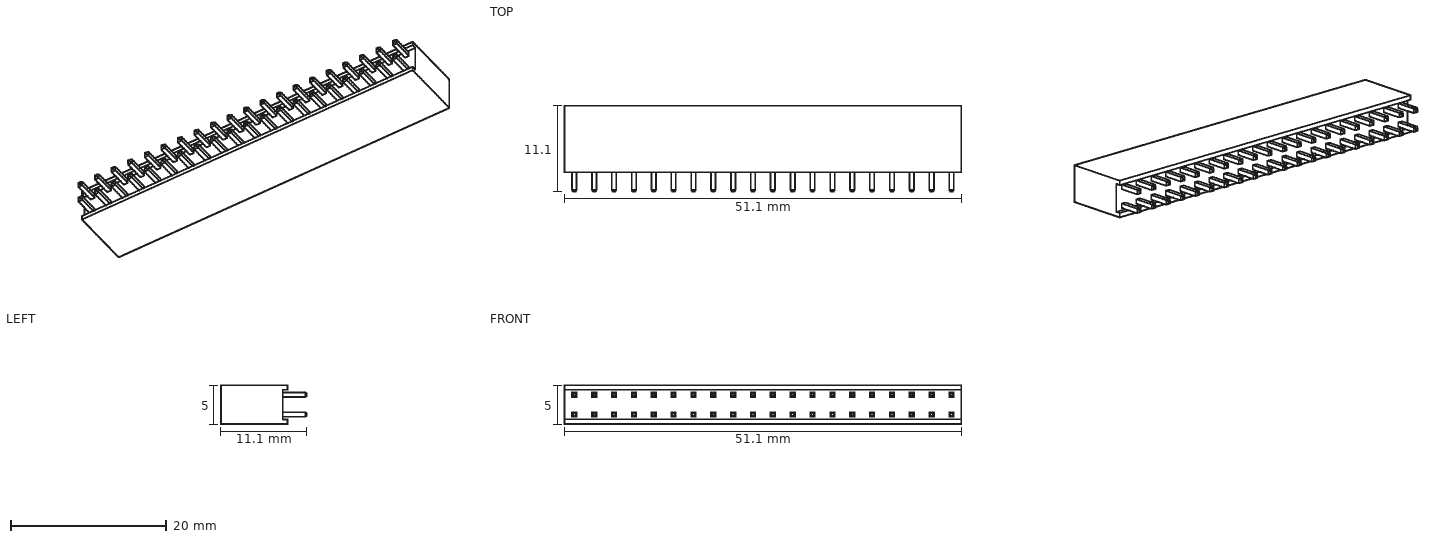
import cadquery as cq

length = 51.1
height = 5.0
total_depth = 11.1
housing_depth = 8.6
lip_thickness = 0.6
lip_depth = 0.6

pin_columns = 20
pin_rows = 2
pitch = 2.55
pin_width = 0.6
tip_width = 0.3
tip_length = 0.25

lip_front_y = total_depth - housing_depth
pin_face_y = lip_front_y + lip_depth


def make_housing():
    """Solid bar with a full-length recess that leaves a lip above and below the pins."""
    bar = cq.Workplane("XY").box(length, housing_depth, height, centered=(True, False, True))
    recess = cq.Workplane("XY").box(
        length, lip_depth, height - 2 * lip_thickness, centered=(True, False, True)
    )
    return bar.cut(recess).translate((0, lip_front_y, 0))


def make_pin():
    """Square shank along the Y axis, ending in a short pyramidal taper at y = 0."""
    shank = (
        cq.Workplane("XZ", origin=(0, pin_face_y, 0))
        .rect(pin_width, pin_width)
        .extrude(pin_face_y - tip_length)
    )
    tip = (
        cq.Workplane("XZ", origin=(0, tip_length, 0))
        .rect(pin_width, pin_width)
        .workplane(offset=tip_length)
        .rect(tip_width, tip_width)
        .loft(ruled=True)
    )
    return shank.union(tip)


def centered_positions(count):
    """Positions of evenly pitched pins, centred on zero."""
    return [(index - (count - 1) / 2) * pitch for index in range(count)]


result = make_housing()
pin = make_pin()
for x in centered_positions(pin_columns):
    for z in centered_positions(pin_rows):
        result = result.union(pin.translate((x, 0, z)))